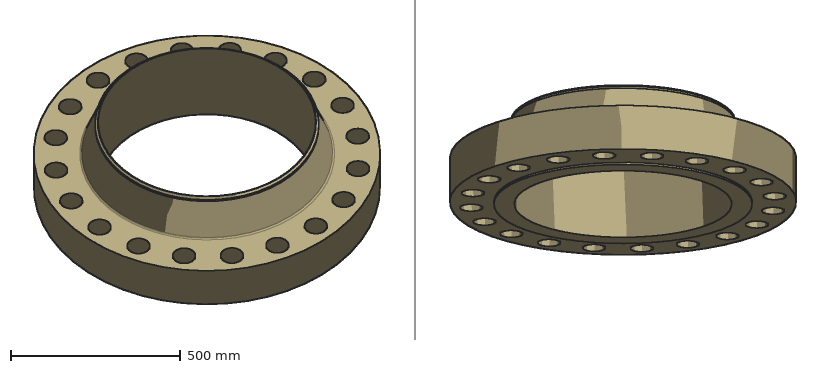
import cadquery as cq
import math


flange_diameter = 1022.35
flange_thickness = 134.9
raised_face_diameter = 762.0
raised_face_height = 6.35

overall_height = 265.18
hub_base_diameter = 743.0
hub_fillet_radius = 6.35
neck_diameter = 660.4
neck_wall = 9.525
neck_straight_length = 6.35
weld_land = 1.6
weld_bevel_angle = 37.5

bolt_count = 20
bolt_circle_diameter = 901.7
bolt_hole_diameter = 66.7

flange_radius = flange_diameter / 2
raised_face_radius = raised_face_diameter / 2
hub_base_radius = hub_base_diameter / 2
neck_radius = neck_diameter / 2
bore_radius = neck_radius - neck_wall
land_radius = bore_radius + weld_land
bevel_height = (neck_radius - land_radius) * math.tan(math.radians(weld_bevel_angle))

face_z = -raised_face_height
neck_end_z = face_z + overall_height
bevel_start_z = neck_end_z - bevel_height
hub_top_z = bevel_start_z - neck_straight_length

hub_slope_angle = math.atan2(hub_top_z - flange_thickness, hub_base_radius - neck_radius)
fillet_tangent_length = hub_fillet_radius * math.tan(hub_slope_angle / 2)
fillet_start = (hub_base_radius + fillet_tangent_length, flange_thickness)
fillet_end = (
    hub_base_radius - fillet_tangent_length * math.cos(hub_slope_angle),
    flange_thickness + fillet_tangent_length * math.sin(hub_slope_angle),
)


def revolved_body():
    """Flange ring, raised face, hub and welding end in one revolved section."""
    return (
        cq.Workplane("XZ")
        .moveTo(bore_radius, face_z)
        .lineTo(raised_face_radius, face_z)
        .lineTo(raised_face_radius, 0)
        .lineTo(flange_radius, 0)
        .lineTo(flange_radius, flange_thickness)
        .lineTo(*fillet_start)
        .tangentArcPoint(fillet_end, relative=False)
        .lineTo(neck_radius, hub_top_z)
        .lineTo(neck_radius, bevel_start_z)
        .lineTo(land_radius, neck_end_z)
        .lineTo(bore_radius, neck_end_z)
        .close()
        .revolve(360, (0, 0, 0), (0, 1, 0))
    )


def bolt_holes():
    """Cylinders through the flange, evenly spaced with the first on +X."""
    return (
        cq.Workplane("XY")
        .polarArray(bolt_circle_diameter / 2, 0, 360, bolt_count)
        .circle(bolt_hole_diameter / 2)
        .extrude(flange_thickness)
    )


result = revolved_body().cut(bolt_holes())